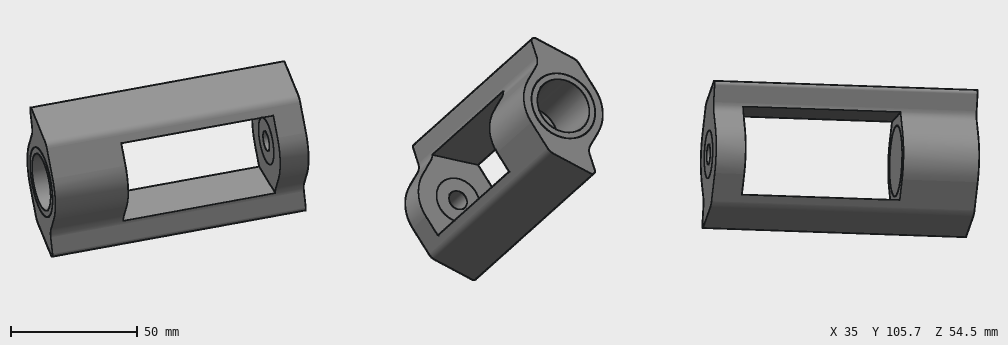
import cadquery as cq
import math

length = 105.73
height = 54.5
barrel_radius = 17.5

rear_block_length = 11.9
window_length = 63.4
window_height = 2 * barrel_radius
front_block_length = length - rear_block_length - window_length

shoulder_normal = 36.0
top_normal = 72.7
undercut_normal = 199.5
flank_normal = 152.5

tip_radius = 1.5
corner_radius = 5.0
notch_radius = 5.0
tip_center = (-12.55, height / 2 - tip_radius)

cup_diameter = 28.0
cup_bore_diameter = 28.2
cup_inner_diameter = 23.0
cup_floor = 2.5

bushing_diameter = 19.0
bushing_hole_diameter = 8.0


def tangent_line(center, radius, normal):
    """Line touching a circle, as its unit normal and its distance from the origin."""
    nx = math.cos(math.radians(normal))
    nz = math.sin(math.radians(normal))
    return nx, nz, nx * center[0] + nz * center[1] + radius


def crossing(first, second):
    """Point where two lines cross."""
    ax, az, a = first
    bx, bz, b = second
    det = ax * bz - az * bx
    return (a * bz - b * az) / det, (ax * b - bx * a) / det


def opposite(point):
    """The point turned half a turn about the bore axis."""
    return -point[0], -point[1]


def on_barrel(angle):
    """Point on the barrel circle."""
    turn = math.radians(angle)
    return barrel_radius * math.cos(turn), barrel_radius * math.sin(turn)


def rod(diameter, start, end):
    """Cylinder along the bore axis between two Y positions."""
    return cq.Workplane("XZ", origin=(0, start, 0)).circle(diameter / 2).extrude(start - end)


def make_profile_bar():
    """Full-length bar: a barrel with two hooked edges, the same after half a turn."""
    shoulder = tangent_line((0, 0), barrel_radius, shoulder_normal)
    top = tangent_line(tip_center, tip_radius, top_normal)
    undercut = tangent_line(tip_center, tip_radius, undercut_normal)
    flank = tangent_line((0, 0), barrel_radius, flank_normal)

    corner = crossing(shoulder, top)
    tip = crossing(top, undercut)
    notch = crossing(undercut, flank)
    shoulder_end = on_barrel(shoulder_normal)
    flank_end = on_barrel(flank_normal)

    bar = (
        cq.Workplane("XZ")
        .moveTo(*shoulder_end)
        .lineTo(*corner)
        .lineTo(*tip)
        .lineTo(*notch)
        .lineTo(*flank_end)
        .threePointArc((-barrel_radius, 0), opposite(shoulder_end))
        .lineTo(*opposite(corner))
        .lineTo(*opposite(tip))
        .lineTo(*opposite(notch))
        .lineTo(*opposite(flank_end))
        .threePointArc((barrel_radius, 0), shoulder_end)
        .close()
        .extrude(-length)
    )
    for vertex, radius in ((corner, corner_radius), (tip, tip_radius), (notch, notch_radius)):
        for x, z in (vertex, opposite(vertex)):
            edge = cq.selectors.NearestToPointSelector((x, length / 2, z))
            bar = bar.edges("|Y").edges(edge).fillet(radius)
    return bar


def make_housing():
    """Bar with the window through it and a bore in each end block."""
    window = cq.Workplane("XY", origin=(0, front_block_length + window_length / 2, 0)).box(
        height, window_length, window_height
    )
    cup_bore = rod(cup_bore_diameter, 0, front_block_length)
    bushing_bore = rod(bushing_diameter, length - rear_block_length, length)
    return make_profile_bar().cut(window).cut(cup_bore).cut(bushing_bore)


def make_cup():
    """Cup filling the front bore, open at the front and closed by a floor at the window."""
    hollow = rod(cup_inner_diameter, 0, front_block_length - cup_floor)
    return rod(cup_diameter, 0, front_block_length).cut(hollow)


def make_bushing():
    """Ring through the rear block, flush on both faces."""
    start = length - rear_block_length
    return rod(bushing_diameter, start, length).cut(rod(bushing_hole_diameter, start, length))


housing = make_housing()
cup = make_cup()
bushing = make_bushing()

result = cq.Compound.makeCompound([housing.val(), cup.val(), bushing.val()])